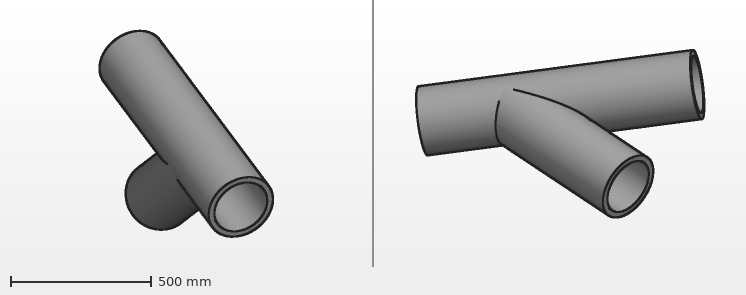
import cadquery as cq
import math

outer_diameter = 250.0
inner_diameter = 205.0
run_length = 1000.0
junction_from_left = 678.0
branch_length = 602.0
branch_angle = math.radians(45)

junction = cq.Vector(0, 0, 0)
run_start = cq.Vector(-junction_from_left, 0, 0)
run_direction = cq.Vector(1, 0, 0)
branch_direction = cq.Vector(-math.cos(branch_angle), 0, -math.sin(branch_angle))


def tee_shape(diameter):
    """Join solid cylinders of one diameter along the run and branch axes."""
    radius = diameter / 2
    run = cq.Solid.makeCylinder(radius, run_length, run_start, run_direction)
    branch = cq.Solid.makeCylinder(radius, branch_length, junction, branch_direction)
    return cq.Workplane(run).union(cq.Workplane(branch))


result = tee_shape(outer_diameter).cut(tee_shape(inner_diameter))